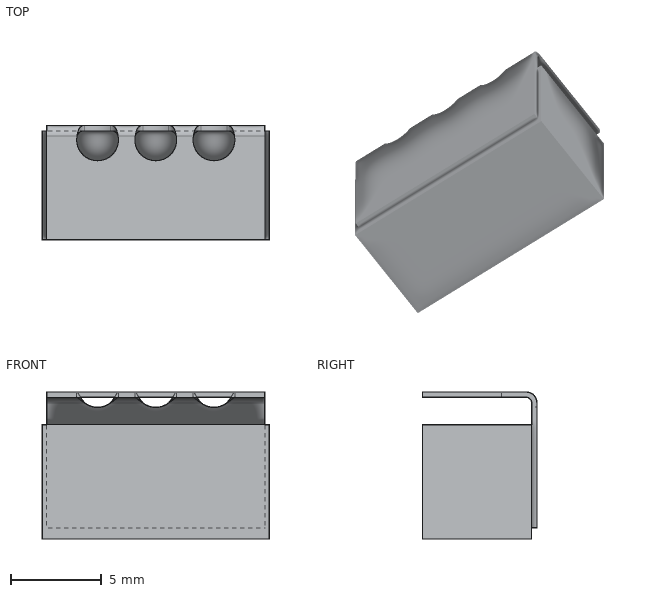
import cadquery as cq
import math

block_width = 12.5
block_depth = 6.0
block_height = 6.3

sheet_width = 12.0
sheet_thickness = 0.3
sheet_bottom_z = 0.62
sheet_top_z = 8.1
sheet_back_y = block_depth + sheet_thickness

bend_inner_radius = 0.3
bend_outer_radius = bend_inner_radius + sheet_thickness
bend_middle_radius = (bend_inner_radius + bend_outer_radius) / 2
bend_length = bend_middle_radius * math.pi / 2
bend_axis_y = sheet_back_y - bend_outer_radius
bend_axis_z = sheet_top_z - bend_outer_radius

hole_radius = 2.3 / 2
hole_pitch = 3.2
hole_count = 3
hole_from_back = 0.8
hole_y = sheet_back_y - hole_from_back
hole_to_bend = bend_axis_y - hole_y
hole_unfolded_z = bend_axis_z + bend_length + hole_to_bend
hole_x_positions = [(i - (hole_count - 1) / 2) * hole_pitch for i in range(hole_count)]

cut_margin = 0.06
curve_samples = 9


def make_block():
    """Plain rectangular block."""
    return cq.Workplane("XY").box(block_width, block_depth, block_height, centered=(True, False, False))


def make_top_panel():
    """Flat top panel, up to the start of the bend, with its part of each hole."""
    panel = cq.Workplane("XY", origin=(0, 0, sheet_top_z - sheet_thickness)).box(
        sheet_width, bend_axis_y, sheet_thickness, centered=(True, False, False)
    )
    holes = (
        cq.Workplane("XY", origin=(0, hole_y, sheet_top_z - sheet_thickness))
        .pushPoints([(x, 0) for x in hole_x_positions])
        .circle(hole_radius)
        .extrude(sheet_thickness)
    )
    return panel.cut(holes)


def make_back_panel():
    """Flat back panel, up to the start of the bend, with its part of each hole."""
    panel = cq.Workplane("XY", origin=(0, block_depth, sheet_bottom_z)).box(
        sheet_width, sheet_thickness, bend_axis_z - sheet_bottom_z, centered=(True, False, False)
    )
    holes = (
        cq.Workplane("XZ", origin=(0, sheet_back_y, hole_unfolded_z))
        .pushPoints([(x, 0) for x in hole_x_positions])
        .circle(hole_radius)
        .extrude(sheet_thickness)
    )
    return panel.cut(holes)


def bend_hole_point(x_center, side, radius, angle):
    """Point on one side of a folded hole; the angle runs from the top panel to the back panel."""
    unfolded_distance = hole_to_bend + bend_middle_radius * angle
    half_width = math.sqrt(hole_radius**2 - unfolded_distance**2)
    return cq.Vector(
        x_center + side * half_width,
        bend_axis_y + radius * math.sin(angle),
        bend_axis_z + radius * math.cos(angle),
    )


def make_bend_hole(x_center):
    """Solid that cuts one hole through the bend, with walls along the bend radius."""
    inner = bend_inner_radius - cut_margin
    outer = bend_outer_radius + cut_margin
    angles = [i / (curve_samples - 1) * math.pi / 2 for i in range(curve_samples)]

    def curve(side, radius):
        return cq.Edge.makeSpline([bend_hole_point(x_center, side, radius, a) for a in angles])

    def end_cap(angle):
        corners = [(-1, inner), (1, inner), (1, outer), (-1, outer)]
        points = [bend_hole_point(x_center, side, radius, angle) for side, radius in corners]
        return cq.Face.makeFromWires(cq.Wire.makePolygon(points, close=True))

    rails = [curve(-1, inner), curve(1, inner), curve(1, outer), curve(-1, outer)]
    walls = [cq.Face.makeRuledSurface(a, b) for a, b in zip(rails, rails[1:] + rails[:1])]
    caps = [end_cap(angles[0]), end_cap(angles[-1])]
    return cq.Solid.makeSolid(cq.Shell.makeShell(walls + caps)).fix()


def make_bend():
    """Quarter ring joining the two panels, with the middle part of each hole."""
    diagonal = math.sqrt(0.5)
    bend = (
        cq.Workplane("YZ", origin=(-sheet_width / 2, bend_axis_y, bend_axis_z))
        .moveTo(0, bend_inner_radius)
        .lineTo(0, bend_outer_radius)
        .threePointArc((bend_outer_radius * diagonal, bend_outer_radius * diagonal), (bend_outer_radius, 0))
        .lineTo(bend_inner_radius, 0)
        .threePointArc((bend_inner_radius * diagonal, bend_inner_radius * diagonal), (0, bend_inner_radius))
        .close()
        .extrude(sheet_width)
    )
    for x in hole_x_positions:
        bend = bend.cut(cq.Workplane(obj=make_bend_hole(x)))
    return bend


def make_sheet():
    """Bent sheet: top panel, bend and back panel in one solid."""
    return make_top_panel().union(make_bend()).union(make_back_panel())


block = make_block()
sheet = make_sheet()

result = cq.Compound.makeCompound([block.val(), *sheet.solids().vals()])